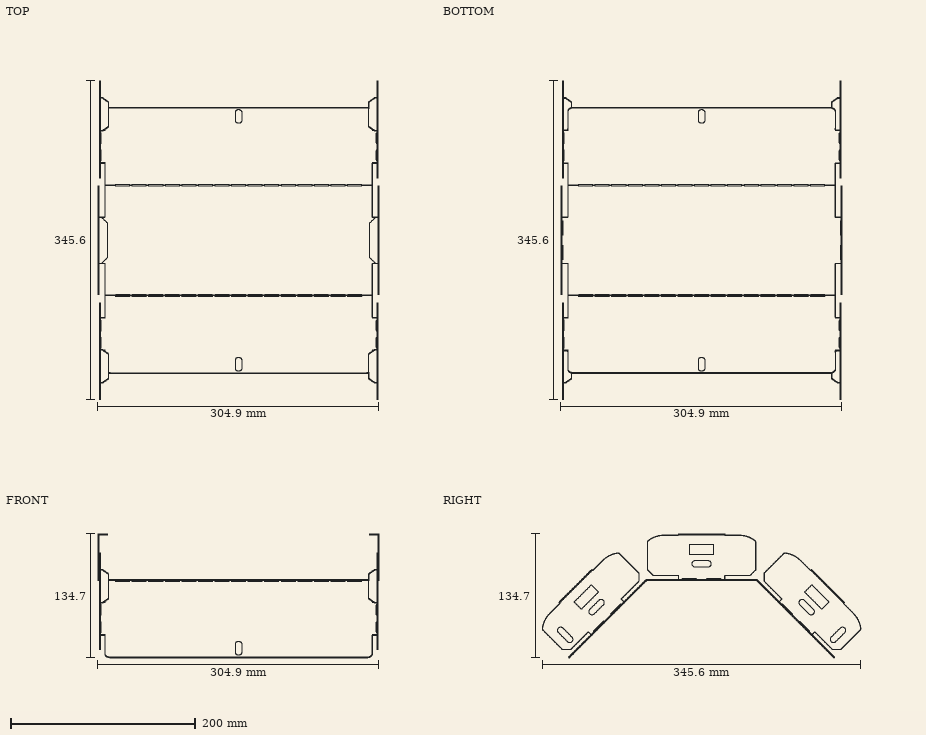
import cadquery as cq
sheet = 1.0
fold_angle = 45.0
panel_half_width = 145.5

middle_length = 120.0
sloped_length = 119.5
free_corner_radius = 6.2

fold_slit_count = 15
fold_slit_pitch = 18.0
fold_slit_length = 15.2
fold_slit_width = 1.7

middle_flange_half_span = 152.45
sloped_flange_half_span = 151.2
sloped_flange_center = 59.5
flange_length = 117.5
flange_bottom = 4.0
flange_top = 48.0
flange_bottom_chamfer = 6.2
crown_run = 18.0
crown_drop = 6.5
crown_corner_radius = 2.8

tab_length = 50.5
tab_slit_length = 15.2
tab_slit_center = 13.0
tab_slit_width = 1.7

lip_top = 49.5
lip_depth = 10.0
lip_chamfer = 6.5

mark_depth = 0.17
slot_length = 20.8
slot_width = 7.0
flange_slot_height = 17.0
end_slot_offset = 45.5
end_slot_height = 19.7
window_length = 26.3
window_width = 11.0
window_height = 32.5
panel_slot_edge_gap = 14.0


def block(x_range, y_range, z_range):
    """Box given by its lower and upper limits along each axis."""
    sizes = [high - low for low, high in (x_range, y_range, z_range)]
    corner = (x_range[0], y_range[0], z_range[0])
    return cq.Workplane("XY").box(*sizes, centered=False).translate(corner)


def both_ends(body):
    """The body together with its mirror image at the opposite X end."""
    return body.union(body.mirror("YZ"))


def flange_plate(outer_x):
    """Upright plate with chamfered lower corners and a crowned top."""
    half = flange_length / 2
    outline = (
        cq.Workplane("YZ", origin=(outer_x, 0, 0))
        .moveTo(-half, flange_top - crown_drop)
        .lineTo(-half, flange_bottom + flange_bottom_chamfer)
        .lineTo(-half + flange_bottom_chamfer, flange_bottom)
        .lineTo(half - flange_bottom_chamfer, flange_bottom)
        .lineTo(half, flange_bottom + flange_bottom_chamfer)
        .lineTo(half, flange_top - crown_drop)
    )
    radius = (crown_run**2 + crown_drop**2) / (2 * crown_drop)
    outline = (
        outline.radiusArc((half - crown_run, flange_top), -radius)
        .lineTo(-half + crown_run, flange_top)
        .radiusArc((-half, flange_top - crown_drop), -radius)
        .close()
    )
    plate = outline.extrude(sheet)
    return plate.edges("|X and (>Y or <Y)").edges(">Z").fillet(crown_corner_radius)


def end_flange(half_span):
    """Flange at the -X end, centered on Y = 0, standing on a panel whose top is Z = 0."""
    outer = -half_span
    tab_span = (-tab_length / 2, tab_length / 2)
    tab = block((outer, -panel_half_width), tab_span, (-sheet, 0))
    neck = block((outer, outer + sheet), tab_span, (-sheet, lip_top))
    lip = block((outer, outer + lip_depth), tab_span, (lip_top - sheet, lip_top))
    lip = lip.edges("|Z and >X").chamfer(lip_chamfer)
    flange = flange_plate(outer).union(tab).union(neck).union(lip)
    for side in (-1, 1):
        center = side * tab_slit_center
        slit_span = (center - tab_slit_length / 2, center + tab_slit_length / 2)
        slit = block((outer, outer + tab_slit_width), slit_span, (-sheet, tab_slit_width - sheet))
        flange = flange.cut(slit)
    face = cq.Workplane("YZ", origin=(outer, 0, 0))
    slot = face.center(0, flange_slot_height).slot2D(slot_length, slot_width).extrude(mark_depth)
    window = face.center(0, window_height).rect(window_length, window_width).extrude(mark_depth)
    return flange.cut(slot).cut(window)


def middle_panel():
    """Level panel with a flange at each end."""
    panel = block(
        (-panel_half_width, panel_half_width),
        (-middle_length / 2, middle_length / 2),
        (-sheet, 0),
    )
    return panel.union(both_ends(end_flange(middle_flange_half_span)))


def sloped_panel():
    """Sloping panel at the +Y fold."""
    panel = block((-panel_half_width, panel_half_width), (0, sloped_length), (-sheet, 0))
    panel = panel.edges("|Z and >Y").fillet(free_corner_radius)
    panel_slot = (
        cq.Workplane("XY")
        .center(0, sloped_length - panel_slot_edge_gap)
        .slot2D(slot_length, slot_width, 90)
        .extrude(-mark_depth)
    )
    end_slot = (
        cq.Workplane("YZ", origin=(-sloped_flange_half_span, 0, 0))
        .center(end_slot_offset, end_slot_height)
        .slot2D(slot_length, slot_width, 90)
        .extrude(mark_depth)
    )
    flange = end_flange(sloped_flange_half_span).cut(end_slot)
    flange = flange.translate((0, sloped_flange_center, 0))
    panel = panel.cut(panel_slot).union(both_ends(flange))
    panel = panel.rotate((0, 0, 0), (1, 0, 0), -fold_angle)
    return panel.translate((0, middle_length / 2, 0))


def fold_slits():
    """Row of through slits along the +Y fold."""
    points = [
        ((index - (fold_slit_count - 1) / 2) * fold_slit_pitch, middle_length / 2)
        for index in range(fold_slit_count)
    ]
    return (
        cq.Workplane("XY", origin=(0, 0, -2 * sheet))
        .pushPoints(points)
        .rect(fold_slit_length, fold_slit_width)
        .extrude(3 * sheet)
    )


outer_panel = sloped_panel()
slits = fold_slits()
result = middle_panel().union(outer_panel).union(outer_panel.mirror("XZ"))
result = result.cut(slits).cut(slits.mirror("XZ"))